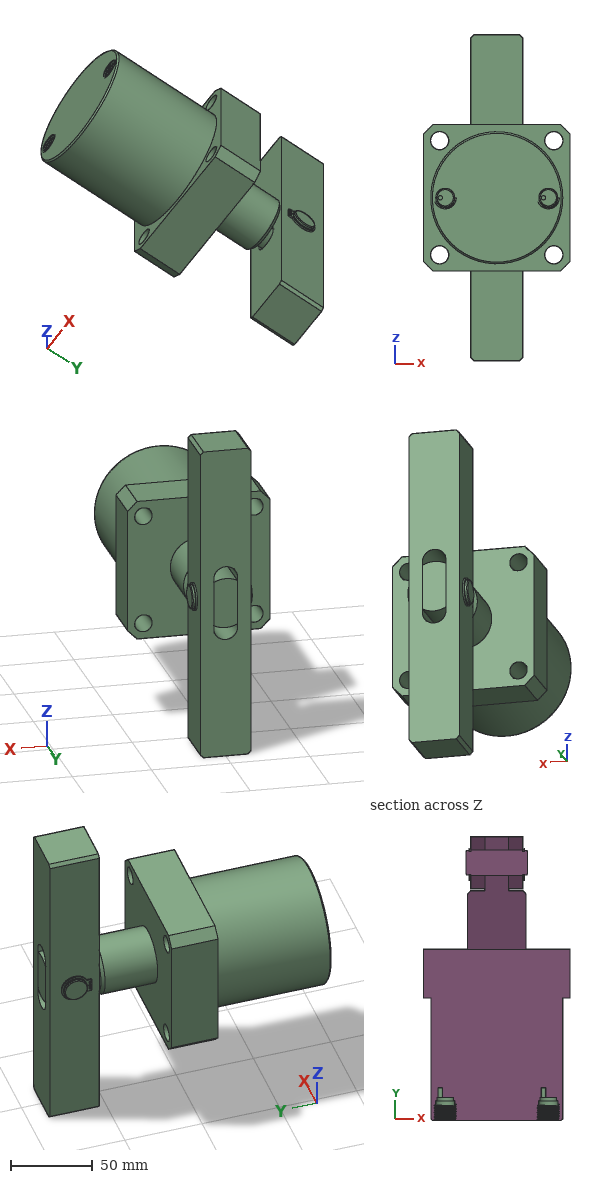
import cadquery as cq


barrel_diameter = 81.0
barrel_length = 75.0
barrel_edge_chamfer = 1.0
flange_size = 90.0
flange_thickness = 30.0
flange_corner_chamfer = 6.0
mount_hole_spacing = 70.0
mount_hole_diameter = 11.0
flange_face = barrel_length + flange_thickness

port_offset = 31.5
port_bore_radius = 5.8
port_thread_radius = 6.8
port_pitch = 1.5
port_depth = 12.0
pilot_bore_radius = 5.0
pilot_depth = 2.0
port_floor = port_depth + pilot_depth
thread_turns = 7
thread_overlap = 0.2
thread_base_fraction = 0.9
feed_hole_diameter = 2.5
feed_hole_offset = 3.0
feed_hole_depth = 6.0

arm_width = 32.0
arm_length = 200.0
arm_end_chamfer = 2.0
arm_front = 142.0
arm_back = arm_front + arm_width
slot_width = 15.0
slot_length = 47.5

rod_diameter = 36.0
rod_chamfer = 2.0
rod_shoulder_gap = 1.0
rod_shoulder = arm_front - rod_shoulder_gap
tongue_diameter = rod_diameter - 2 * rod_chamfer
tongue_length = arm_back - rod_shoulder

pin_y = arm_front + arm_width / 2
pin_diameter = 15.2
pin_length = 38.0
pin_chamfer = 0.5
groove_diameter = 14.5
ring_thickness = 1.0
ring_outer_diameter = 17.5
ring_starts = (-arm_width / 2 - ring_thickness, arm_width / 2)
lug_reach = 11.0
lug_span = 8.5
lug_corner_chamfer = 0.5
lug_gap = 0.8
lug_hole_diameter = 1.5
lug_hole_reach = 9.8
lug_hole_spacing = 4.5


def cylinder_y(diameter, start, length, x=0.0):
    """Solid cylinder along +Y from the plane Y = start."""
    return cq.Workplane("XZ", origin=(x, start, 0)).circle(diameter / 2).extrude(-length)


def cylinder_x(diameter, start, length, y=pin_y, z=0.0):
    """Solid cylinder along +X from the plane X = start."""
    return cq.Workplane("YZ", origin=(start, y, z)).circle(diameter / 2).extrude(length)


def port_thread(x):
    """Helical V-shaped groove cut into the wall of the port at X = x."""
    base_radius = port_bore_radius - thread_overlap
    half_width = thread_base_fraction * port_pitch / 2
    path = cq.Wire.makeHelix(port_pitch, thread_turns * port_pitch, port_bore_radius)
    groove = (
        cq.Workplane("XZ")
        .polyline([
            (base_radius, -half_width),
            (port_thread_radius, 0),
            (base_radius, half_width),
        ])
        .close()
        .sweep(cq.Workplane(path), isFrenet=True)
    )
    return groove.rotate((0, 0, 0), (1, 0, 0), -90).translate((x, 0, 0))


def make_housing():
    barrel = cylinder_y(barrel_diameter, 0, barrel_length).faces("<Y").chamfer(barrel_edge_chamfer)
    flange = (
        cq.Workplane("XZ", origin=(0, barrel_length, 0))
        .rect(flange_size, flange_size)
        .extrude(-flange_thickness)
        .edges("|Y")
        .chamfer(flange_corner_chamfer)
    )
    mount_holes = (
        cq.Workplane("XZ", origin=(0, barrel_length, 0))
        .rect(mount_hole_spacing, mount_hole_spacing, forConstruction=True)
        .vertices()
        .circle(mount_hole_diameter / 2)
        .extrude(-flange_thickness)
    )
    body = barrel.union(flange).cut(mount_holes)
    for x in (-port_offset, port_offset):
        body = body.cut(cylinder_y(2 * port_bore_radius, 0, port_depth, x))
        body = body.cut(port_thread(x))
        body = body.cut(cylinder_y(2 * pilot_bore_radius, port_depth, pilot_depth, x))
        feed_hole_x = x - feed_hole_offset
        body = body.cut(cylinder_y(feed_hole_diameter, port_floor, feed_hole_depth, feed_hole_x))
    return body


def make_rod():
    shank = cylinder_y(rod_diameter, flange_face, rod_shoulder - flange_face)
    shank = shank.faces(">Y").chamfer(rod_chamfer)
    tongue_flats = cq.Workplane("XY").box(slot_width, 2 * arm_back, tongue_diameter)
    tongue = cylinder_y(tongue_diameter, rod_shoulder, tongue_length).intersect(tongue_flats)
    return shank.union(tongue).cut(cylinder_x(pin_diameter, -arm_width / 2, arm_width))


def make_arm():
    bar = cq.Workplane("XY").box(arm_width, arm_width, arm_length).translate((0, pin_y, 0))
    bar = bar.faces("<Z or >Z").edges("|Y").chamfer(arm_end_chamfer)
    slot = (
        cq.Workplane("XZ", origin=(0, arm_front, 0))
        .slot2D(slot_length, slot_width, 90)
        .extrude(-arm_width)
    )
    return bar.cut(slot).cut(cylinder_x(pin_diameter, -arm_width / 2, arm_width))


def make_pin():
    pin = cylinder_x(pin_diameter, -pin_length / 2, pin_length).faces("<X or >X").chamfer(pin_chamfer)
    for start in ring_starts:
        blank = cylinder_x(pin_diameter, start, ring_thickness)
        groove = blank.cut(cylinder_x(groove_diameter, start, ring_thickness))
        pin = pin.cut(groove)
    return pin


def make_ring(start):
    """Retaining ring with two drilled lugs toward -Y, its inner face at X = start."""
    ring = cylinder_x(ring_outer_diameter, start, ring_thickness)
    lugs = (
        cq.Workplane("YZ", origin=(start, pin_y - lug_reach / 2, 0))
        .rect(lug_reach, lug_span)
        .extrude(ring_thickness)
        .faces("<Y")
        .edges("|X")
        .chamfer(lug_corner_chamfer)
    )
    gap = (
        cq.Workplane("YZ", origin=(start, pin_y - lug_reach / 2, 0))
        .rect(lug_reach, lug_gap)
        .extrude(ring_thickness)
    )
    ring = ring.union(lugs).cut(gap).cut(cylinder_x(groove_diameter, start, ring_thickness))
    for z in (-lug_hole_spacing / 2, lug_hole_spacing / 2):
        ring = ring.cut(cylinder_x(lug_hole_diameter, start, ring_thickness, pin_y - lug_hole_reach, z))
    return ring


housing = make_housing()
rod = make_rod()
arm = make_arm()
pin = make_pin()
rings = [make_ring(start) for start in ring_starts]

result = cq.Compound.makeCompound([
    housing.val(),
    rod.val(),
    arm.val(),
    pin.val(),
    *[ring.val() for ring in rings],
])